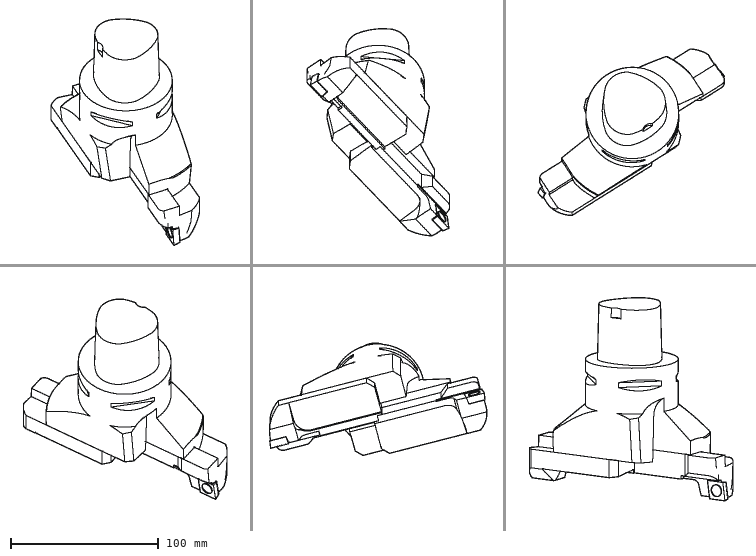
import cadquery as cq
import math


top_z = 128.0
flange_top_z = 90.0
flange_bottom_z = 58.3

lobe_reach = 23.4
flank_reach = 20.4
seam_reach = 22.3
seam_half_angle = 25.5
lobe_angles = (90, 210, 330)
lobe_pitch = 120
shank_height = top_z - flange_top_z
taper_inset = shank_height / 40
notch_radius = 5.4
notch_axis_y = -23.1
notch_depth = 6.6

flange_radius = 31.5
groove_mid_z = 78.0
groove_half_width = 1.6
groove_floor_reach = 27.7
groove_side_angle = 30
groove_angles = (45, 135, 225, 315)

arm_radius = 53.4
arm_rim_z = 39.3
cone_foot_radius = 53.0
cone_foot_z = 40.2
arm_half_length = 52.3
side_top_z = 66.6
side_lean_angle = 7.6
channel_half_width = 7.0
channel_top_z = 30.7

gullet_low_x = 21.6
gullet_low_z = 21.0
gullet_x = 22.5
gullet_arc_z = 54.0
gullet_radius = 15.3
gullet_chamfer = 4.3

seat_inner_z = 22.3
seat_outer_z = 24.6
bar_half_depth = 26.0
bar_inner_x = -3.3
bar_face_y = -1.8
bar_bottom_z = 11.7
bar_chamfer = 4.5
block_top_z = 30.3
nose_radius = 24.0
nose_center_x = 49.6
tip_x = 75.0

head_inner_x = 44.5
head_ramp_x = 50.5
head_corner_radius = 4.5
head_lip_z = 18.0
head_bottom_z = 14.1
head_top_end_x = 71.1
head_bottom_end_x = 71.7

foot_inner_x = 41.1
foot_bottom_z = 1.3
foot_end_x = 73.6
foot_root_x = 49.5
foot_root_radius = 4.0
foot_heel_x = 55.3

relief_wall_y = 3.1
relief_inner_z = 14.2
relief_outer_z = 12.0
relief_end_x = 55.6
relief_corner_radius = 9.7

insert_width = 12.6
insert_height = 12.6
insert_tip_x = 75.0
insert_lean = 1.8
insert_thickness = 5.0
insert_relief_angle = 7
insert_hole_diameter = 8.1
insert_hole_depth = 0.6
seat_setback = 0.3

clear = 7.5


def prism_along_x(points, x_start, x_end):
    """Extrude a (y, z) outline from x_start to x_end."""
    return cq.Workplane("YZ", origin=(x_start, 0, 0)).polyline(points).close().extrude(x_end - x_start)


def half_turn(body):
    return body.rotate((0, 0, 0), (0, 0, 1), 180)


def polar(reach, angle):
    return (reach * math.cos(math.radians(angle)), reach * math.sin(math.radians(angle)))


def shank_wire(workplane, inset):
    """Three-lobed outline of six arcs, moved inwards by inset."""
    outline = workplane.moveTo(*polar(seam_reach - inset, lobe_angles[0] - seam_half_angle))
    for angle in lobe_angles:
        lobe_end = polar(seam_reach - inset, angle + seam_half_angle)
        next_lobe = polar(seam_reach - inset, angle + lobe_pitch - seam_half_angle)
        outline = outline.threePointArc(polar(lobe_reach - inset, angle), lobe_end)
        outline = outline.threePointArc(polar(flank_reach - inset, angle + lobe_pitch / 2), next_lobe)
    return outline.close()


def make_shank():
    base = shank_wire(cq.Workplane("XY", origin=(0, 0, flange_top_z)), 0)
    shank = shank_wire(base.workplane(offset=shank_height), taper_inset).loft(ruled=True)
    notch = (
        cq.Workplane("XY", origin=(0, notch_axis_y, top_z - notch_depth))
        .circle(notch_radius)
        .extrude(notch_depth + clear)
    )
    return shank.cut(notch)


def gripper_groove(angle):
    """Trapezoid groove on a chord of the flange, square to the given direction."""
    depth = flange_radius + clear - groove_floor_reach
    half_mouth = groove_half_width + depth * math.tan(math.radians(groove_side_angle))
    outline = [
        (groove_floor_reach, groove_mid_z - groove_half_width),
        (groove_floor_reach + depth, groove_mid_z - half_mouth),
        (groove_floor_reach + depth, groove_mid_z + half_mouth),
        (groove_floor_reach, groove_mid_z + groove_half_width),
    ]
    groove = cq.Workplane("XZ").polyline(outline).close().extrude(flange_radius, both=True)
    return groove.rotate((0, 0, 0), (0, 0, 1), angle)


def side_y(z):
    """Half depth of the body between its leaning sides at height z."""
    return flange_radius - math.tan(math.radians(side_lean_angle)) * (side_top_z - z)


def wall_x(z):
    """Position of the slightly leaning gullet wall at height z."""
    lean = (gullet_x - gullet_low_x) / (gullet_arc_z - gullet_low_z)
    return gullet_low_x + lean * (z - gullet_low_z)


def gullet():
    """Pocket in front of the +X arm, with a round run-out at its top."""
    far_x = arm_radius + clear
    arc_top_z = gullet_arc_z + gullet_radius
    arc_center_x = gullet_x + gullet_radius
    arc_mid = (
        arc_center_x - gullet_radius * math.cos(math.pi / 4),
        gullet_arc_z + gullet_radius * math.sin(math.pi / 4),
    )
    return (
        cq.Workplane("XZ", origin=(0, -channel_half_width, 0))
        .moveTo(gullet_low_x, gullet_low_z)
        .lineTo(gullet_x, gullet_arc_z)
        .threePointArc(arc_mid, (arc_center_x, arc_top_z))
        .lineTo(far_x, arc_top_z)
        .lineTo(far_x, gullet_low_z)
        .close()
        .extrude(arm_radius)
    )


def gullet_edge_triangle(z):
    """Corners of the chamfer cutter at height z, reaching a little past the edge."""
    past = 1.5
    x = wall_x(z)
    y = -side_y(z)
    return [
        (x - gullet_chamfer - past, y - past),
        (x + past, y - past),
        (x + past, y + gullet_chamfer + past),
    ]


def gullet_edge_chamfer():
    low_z = gullet_low_z
    high_z = side_top_z
    return (
        cq.Workplane("XY", origin=(0, 0, low_z))
        .polyline(gullet_edge_triangle(low_z))
        .close()
        .workplane(offset=high_z - low_z)
        .polyline(gullet_edge_triangle(high_z))
        .close()
        .loft(ruled=True)
    )


def make_housing():
    turned = (
        cq.Workplane("XZ")
        .polyline(
            [
                (0, 0),
                (arm_radius, 0),
                (arm_radius, arm_rim_z),
                (cone_foot_radius, cone_foot_z),
                (flange_radius, flange_bottom_z),
                (flange_radius, flange_top_z),
                (0, flange_top_z),
            ]
        )
        .close()
        .revolve(360, (0, 0, 0), (0, 1, 0))
    )
    wide_z = flange_top_z
    half_section = [
        (channel_half_width, channel_top_z),
        (channel_half_width, seat_inner_z),
        (bar_half_depth, seat_outer_z),
        (side_y(wide_z), wide_z),
        (side_y(wide_z), top_z),
    ]
    mirrored = [(-y, z) for y, z in reversed(half_section)]
    section = prism_along_x(half_section + mirrored, -arm_half_length, arm_half_length)
    housing = turned.intersect(section)
    for cutter in (gullet(), gullet_edge_chamfer()):
        housing = housing.cut(cutter).cut(half_turn(cutter))
    for angle in groove_angles:
        housing = housing.cut(gripper_groove(angle))
    return housing.union(make_shank())


def cartridge_bar():
    """Bar under the arm, with a raised strip inside the channel."""
    section = [
        (bar_face_y, bar_bottom_z),
        (bar_half_depth, bar_bottom_z),
        (bar_half_depth, seat_outer_z),
        (channel_half_width, seat_inner_z),
        (channel_half_width, block_top_z),
        (bar_face_y, block_top_z),
    ]
    step = cq.Workplane("XY").box(-2 * bar_inner_x, -2 * bar_face_y, top_z).translate((bar_inner_x, 0, 0))
    return prism_along_x(section, bar_inner_x, tip_x).cut(step)


def cartridge_foot(foot_face, foot_bottom_y):
    section = [
        (foot_face, foot_bottom_z),
        (foot_bottom_y, foot_bottom_z),
        (bar_half_depth, bar_bottom_z),
        (bar_half_depth, head_bottom_z),
        (foot_face, head_bottom_z),
    ]
    return prism_along_x(section, foot_inner_x, tip_x)


def cartridge_head(head_face, head_reach):
    """Block at the tip, with a ramp on its inner side and a sloping underside."""
    section = [
        (-head_face, block_top_z),
        (-head_face, head_lip_z),
        (bar_face_y, head_bottom_z),
        (channel_half_width, head_bottom_z),
        (channel_half_width, block_top_z),
    ]
    plan = (
        cq.Workplane("XY")
        .moveTo(head_inner_x, channel_half_width)
        .lineTo(head_inner_x, bar_face_y)
        .lineTo(head_ramp_x, -head_face)
        .lineTo(head_reach - head_corner_radius, -head_face)
        .radiusArc((head_reach, head_corner_radius - head_face), -head_corner_radius)
        .lineTo(head_reach, channel_half_width)
        .close()
        .extrude(top_z)
    )
    return prism_along_x(section, foot_inner_x, tip_x).intersect(plan)


def cartridge_outline(nose_center_y):
    """Everything inside the plan outline, the leaning tip and the rounded nose."""
    nose_angle = math.asin((bar_half_depth - nose_center_y) / nose_radius)
    nose_mid = (
        nose_center_x + nose_radius * math.cos(nose_angle / 2),
        nose_center_y + nose_radius * math.sin(nose_angle / 2),
    )
    nose_end_x = nose_center_x + nose_radius * math.cos(nose_angle)
    plan = (
        cq.Workplane("XY")
        .moveTo(bar_inner_x, -bar_half_depth)
        .lineTo(nose_center_x + nose_radius, -bar_half_depth)
        .lineTo(nose_center_x + nose_radius, nose_center_y)
        .threePointArc(nose_mid, (nose_end_x, bar_half_depth))
        .lineTo(bar_inner_x + bar_chamfer, bar_half_depth)
        .lineTo(bar_inner_x, bar_half_depth - bar_chamfer)
        .close()
        .extrude(top_z)
    )
    tip = (
        cq.Workplane("XZ")
        .polyline(
            [
                (bar_inner_x, foot_bottom_z),
                (foot_end_x, foot_bottom_z),
                (head_bottom_end_x, head_bottom_z),
                (head_top_end_x, block_top_z),
                (bar_inner_x, block_top_z),
            ]
        )
        .close()
        .extrude(bar_half_depth, both=True)
    )
    return plan.intersect(tip)


def foot_root_cut():
    """Space under the bar up to the foot, with a rounded root."""
    low_x = bar_inner_x - clear
    root_end_x = foot_root_x + foot_root_radius
    return (
        cq.Workplane("XZ")
        .moveTo(low_x, bar_bottom_z)
        .lineTo(foot_root_x, bar_bottom_z)
        .radiusArc((root_end_x, bar_bottom_z - foot_root_radius), foot_root_radius)
        .lineTo(foot_heel_x, foot_bottom_z)
        .lineTo(foot_heel_x, foot_bottom_z - clear)
        .lineTo(low_x, foot_bottom_z - clear)
        .close()
        .extrude(bar_half_depth + clear, both=True)
    )


def underside_relief():
    """Sloping hollow under the bar, rounded where it meets the foot."""
    low_x = bar_inner_x - clear
    section = [
        (relief_wall_y, -clear),
        (relief_wall_y, relief_inner_z),
        (bar_half_depth, relief_outer_z),
        (bar_half_depth + clear, relief_outer_z),
        (bar_half_depth + clear, -clear),
    ]
    corner_block = (
        cq.Workplane("XY", origin=(0, 0, -clear))
        .moveTo(low_x, relief_wall_y)
        .lineTo(relief_end_x - relief_corner_radius, relief_wall_y)
        .radiusArc((relief_end_x, relief_wall_y + relief_corner_radius), -relief_corner_radius)
        .lineTo(relief_end_x, bar_half_depth + clear)
        .lineTo(low_x, bar_half_depth + clear)
        .close()
        .extrude(top_z)
    )
    return prism_along_x(section, low_x, relief_end_x).intersect(corner_block)


def insert_blank(rake_y):
    """Rhomboid plate whose sides taper back from the cutting face at rake_y."""
    outline = [
        (insert_tip_x - insert_width, 0),
        (insert_tip_x, 0),
        (insert_tip_x - insert_lean, insert_height),
        (insert_tip_x - insert_lean - insert_width, insert_height),
    ]
    return (
        cq.Workplane("XZ", origin=(0, rake_y, 0))
        .polyline(outline)
        .close()
        .extrude(-insert_thickness, taper=insert_relief_angle)
    )


def make_insert(rake_y):
    center_x = insert_tip_x - (insert_width + insert_lean) / 2
    hole = (
        cq.Workplane("XZ", origin=(center_x, rake_y, insert_height / 2))
        .circle(insert_hole_diameter / 2)
        .extrude(-insert_hole_depth)
    )
    return insert_blank(rake_y).cut(hole)


def make_cartridge(head_face, head_reach, rake_y, foot_bottom_y, nose_center_y):
    foot_face = rake_y + seat_setback
    front_step = (
        cq.Workplane("XY")
        .box(tip_x - foot_inner_x, bar_half_depth, head_bottom_z, centered=False)
        .translate((foot_inner_x, foot_face - bar_half_depth, 0))
    )
    return (
        cartridge_bar()
        .union(cartridge_foot(foot_face, foot_bottom_y))
        .cut(front_step)
        .union(cartridge_head(head_face, head_reach))
        .intersect(cartridge_outline(nose_center_y))
        .cut(underside_relief())
        .cut(foot_root_cut())
        .cut(insert_blank(rake_y))
    )


right_rake_y = 1.2
left_rake_y = -1.5

housing = make_housing()
right_cartridge = make_cartridge(
    head_face=7.0, head_reach=71.5, rake_y=right_rake_y, foot_bottom_y=13.8, nose_center_y=6.0
)
left_cartridge = half_turn(
    make_cartridge(head_face=6.6, head_reach=72.3, rake_y=left_rake_y, foot_bottom_y=12.0, nose_center_y=7.5)
)
right_insert = make_insert(right_rake_y)
left_insert = half_turn(make_insert(left_rake_y))

result = cq.Compound.makeCompound(
    [
        housing.val(),
        right_cartridge.val(),
        left_cartridge.val(),
        right_insert.val(),
        left_insert.val(),
    ]
)